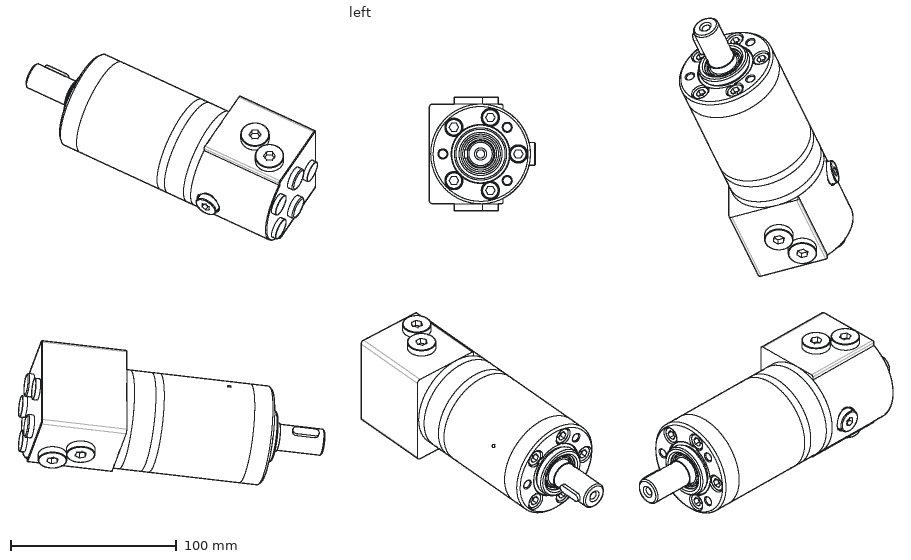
import cadquery as cq
import math


overall_length = 183.2
shoulder_start = 27.7
pilot_start = 30.4
flange_start = 35.3
flange_end = 48.0
barrel_end = 103.7
spacer_end = 108.8
gear_set_end = 122.0
valve_plate_end = 127.0
end_cover_end = 179.3

body_diameter = 60.0
body_radius = body_diameter / 2
overall_height = 68.7

shaft_diameter = 16.0
shoulder_diameter = 17.2
shaft_chamfer = 1.0
shaft_hole_diameter = 5.0
shaft_hole_depth = 11.0
shaft_countersink_diameter = 7.3
drill_tip_angle = 118.0
key_start = 4.0
key_length = 16.3
key_width = 5.0
key_top = 9.7

flange_chamfer = 1.5
pilot_diameter = 31.5
pilot_chamfer = 1.0
ring_groove_diameter = 35.5
ring_groove_depth = 1.1
ring_groove_chamfer = 0.4
pilot_neck_start = 34.8
pilot_neck_diameter = 29.7
seal_mouth_diameter = 26.0
seal_recess_diameter = 23.8
seal_recess_depth = 2.0
seal_groove_outer_diameter = 21.6
seal_groove_inner_diameter = 19.5
seal_groove_depth = 1.5
bolt_circle_radius = 22.7
screw_angles = (-135.0, -75.0, 0.0, 75.0, 135.0)
screw_recess_diameter = 11.0
screw_recess_depth = 5.0
screw_head_diameter = 10.0
screw_head_setback = 1.0
screw_head_chamfer = 0.4
screw_socket_width = 5.0
screw_socket_depth = 3.3
mounting_angles = (-45.0, 45.0, 180.0)
mounting_hole_diameter = 5.0
mounting_mouth_diameter = 6.0

vent_x = 62.8
vent_elevation = 30.0
vent_diameter = 2.0
vent_depth = 2.7

block_back_y = 31.0
block_front_y = -13.5
block_fillet_back = 2.0
block_fillet_front = 1.1
cover_rear_chamfer = 0.5

port_places = ((150.4, 7.3), (165.8, -2.2))
port_plug_diameter = 17.2
port_plug_height = (overall_height - body_diameter) / 2
port_plug_chamfer = 0.4
port_socket_width = 6.0
port_socket_depth = 3.7

drain_x = 139.0
drain_plug_diameter = 14.0
drain_plug_end_y = -33.0
drain_plug_chamfer = 0.5
drain_spotface_diameter = 15.5
drain_spotface_y = -28.4
drain_socket_width = 5.0
drain_socket_depth = 2.7

rear_screw_circle_radius = 21.2
rear_screw_angles = (0.0, 144.0, 216.0)
rear_screw_diameter = 13.0
rear_screw_height = 3.0
rear_screw_chamfer = 0.2
rear_plug_diameter = 14.0
rear_plug_y = 3.0
rear_plug_z = 14.8
rear_plug_chamfer = 0.7

overrun = 1.8


def disc(diameter, start, end, y=0.0, z=0.0):
    """Cylinder parallel to X between two places along the motor axis."""
    return (
        cq.Workplane("YZ", origin=(start, y, z))
        .circle(diameter / 2)
        .extrude(end - start)
    )


def cone(start_diameter, end_diameter, start, end, y=0.0, z=0.0):
    """Cone frustum parallel to X."""
    solid = cq.Solid.makeCone(
        start_diameter / 2,
        end_diameter / 2,
        end - start,
        cq.Vector(start, y, z),
        cq.Vector(1, 0, 0),
    )
    return cq.Workplane(solid)


def hexagon(plane, width, depth):
    """Hexagonal prism of the given width across flats, with a corner on the plane's X axis."""
    corner_diameter = width / math.cos(math.pi / 6)
    return cq.Workplane(plane).polygon(6, corner_diameter).extrude(depth)


def bolt_place(angle):
    """Y and Z of a place on the flange bolt circle; the angle starts at -Y."""
    turn = math.radians(angle)
    return -bolt_circle_radius * math.cos(turn), bolt_circle_radius * math.sin(turn)


def make_shaft():
    tip = disc(shaft_diameter, 0, shoulder_start).faces("<X").chamfer(shaft_chamfer)
    shoulder = disc(shoulder_diameter, shoulder_start, flange_end)
    key = (
        cq.Workplane("XZ", origin=(key_start + key_length / 2, 0, 0))
        .slot2D(key_length, key_width)
        .extrude(-key_top)
    )
    drill_tip = shaft_hole_diameter / 2 / math.tan(math.radians(drill_tip_angle / 2))
    countersink_depth = (shaft_countersink_diameter - shaft_hole_diameter) / 2
    shaft = tip.union(shoulder).union(key)
    shaft = shaft.cut(disc(shaft_hole_diameter, 0, shaft_hole_depth))
    shaft = shaft.cut(cone(shaft_hole_diameter, 0, shaft_hole_depth, shaft_hole_depth + drill_tip))
    return shaft.cut(cone(shaft_countersink_diameter, shaft_hole_diameter, 0, countersink_depth))


def add_flange_screw(flange, angle):
    """Socket-head screw sunk in a counterbore."""
    y, z = bolt_place(angle)
    floor = flange_start + screw_recess_depth
    head_start = flange_start + screw_head_setback
    head = disc(screw_head_diameter, head_start, floor, y, z).faces("<X").chamfer(screw_head_chamfer)
    socket_plane = cq.Plane(origin=(head_start, y, z), xDir=(0, 1, 0), normal=(1, 0, 0))
    head = head.cut(hexagon(socket_plane, screw_socket_width, screw_socket_depth))
    return flange.cut(disc(screw_recess_diameter, flange_start, floor, y, z)).union(head)


def cut_mounting_hole(flange, angle):
    """Through hole with a countersunk mouth."""
    y, z = bolt_place(angle)
    mouth_depth = (mounting_mouth_diameter - mounting_hole_diameter) / 2
    mouth = cone(
        mounting_mouth_diameter, mounting_hole_diameter, flange_start, flange_start + mouth_depth, y, z
    )
    return flange.cut(disc(mounting_hole_diameter, flange_start, flange_end, y, z)).cut(mouth)


def cut_seal_recess(flange):
    """Stepped recess with a ring groove around the shaft, in the end of the pilot."""
    floor = pilot_start + seal_recess_depth
    mouth_depth = (seal_mouth_diameter - seal_recess_diameter) / 2
    groove = disc(seal_groove_outer_diameter, floor, floor + seal_groove_depth).cut(
        disc(seal_groove_inner_diameter, floor, floor + seal_groove_depth)
    )
    mouth = cone(seal_mouth_diameter, seal_recess_diameter, pilot_start, pilot_start + mouth_depth)
    return flange.cut(disc(seal_recess_diameter, pilot_start, floor)).cut(mouth).cut(groove)


def cut_ring_groove(flange):
    """Seat for a sealing ring around the foot of the pilot, with a chamfered mouth."""
    floor = flange_start + ring_groove_depth
    groove_diameter = ring_groove_diameter - 2 * ring_groove_chamfer
    mouth = cone(ring_groove_diameter, groove_diameter, flange_start, flange_start + ring_groove_chamfer)
    return flange.cut(disc(groove_diameter, flange_start, floor)).cut(mouth)


def make_flange():
    flange = disc(body_diameter, flange_start, flange_end).faces("<X").chamfer(flange_chamfer)
    flange = cut_ring_groove(flange)
    pilot = disc(pilot_diameter, pilot_start, pilot_neck_start).faces("<X").chamfer(pilot_chamfer)
    pilot = pilot.union(disc(pilot_neck_diameter, pilot_neck_start, flange_end))
    flange = cut_seal_recess(flange.union(pilot))
    flange = flange.cut(disc(shoulder_diameter, pilot_start, flange_end))
    for angle in screw_angles:
        flange = add_flange_screw(flange, angle)
    for angle in mounting_angles:
        flange = cut_mounting_hole(flange, angle)
    return flange


def make_barrel():
    turn = math.radians(vent_elevation)
    inward = cq.Vector(0, -math.cos(turn), -math.sin(turn))
    mouth = cq.Vector(vent_x, 0, 0) - inward * (body_radius + overrun)
    vent = cq.Solid.makeCylinder(vent_diameter / 2, vent_depth + overrun, mouth, inward)
    return disc(body_diameter, flange_end, barrel_end).cut(cq.Workplane(vent))


def make_cover_body():
    """Round end cover with a square port block on its +Y side."""
    cover_length = end_cover_end - valve_plate_end
    block = (
        cq.Workplane("XY")
        .box(cover_length, block_back_y - block_front_y, body_diameter, centered=(False, False, True))
        .translate((valve_plate_end, block_front_y, 0))
    )
    block = block.edges("|X and >Y").fillet(block_fillet_back)
    block = block.edges("|X and <Y").fillet(block_fillet_front)
    cover = block.union(disc(body_diameter, valve_plate_end, end_cover_end))
    return cover.faces(">X").chamfer(cover_rear_chamfer)


def make_port_plug(x, y, side):
    """Port plug on the top (side = 1) or the bottom (side = -1)."""
    face_plane = cq.Plane(origin=(x, y, side * body_radius), xDir=(0, 1, 0), normal=(0, 0, side))
    plug = cq.Workplane(face_plane).circle(port_plug_diameter / 2).extrude(port_plug_height)
    outer_z = side * (body_radius + port_plug_height)
    socket_plane = cq.Plane(origin=(x, y, outer_z), xDir=(0, 1, 0), normal=(0, 0, -side))
    plug = plug.faces(">Z" if side > 0 else "<Z").chamfer(port_plug_chamfer)
    return plug.cut(hexagon(socket_plane, port_socket_width, port_socket_depth))


def add_drain_plug(cover):
    """Drain plug standing in a round spotface."""
    spotface = (
        cq.Workplane("XZ", origin=(drain_x, drain_spotface_y, 0))
        .circle(drain_spotface_diameter / 2)
        .extrude(body_radius + drain_spotface_y + overrun)
    )
    plug = (
        cq.Workplane("XZ", origin=(drain_x, drain_spotface_y, 0))
        .circle(drain_plug_diameter / 2)
        .extrude(drain_spotface_y - drain_plug_end_y)
        .faces("<Y")
        .chamfer(drain_plug_chamfer)
    )
    socket_plane = cq.Plane(origin=(drain_x, drain_plug_end_y, 0), xDir=(0, 0, 1), normal=(0, 1, 0))
    plug = plug.cut(hexagon(socket_plane, drain_socket_width, drain_socket_depth))
    return cover.cut(spotface).union(plug)


def add_rear_heads(cover):
    """Three low screw heads and two taller plugs on the rear face."""
    for angle in rear_screw_angles:
        turn = math.radians(angle)
        y = rear_screw_circle_radius * math.cos(turn)
        z = rear_screw_circle_radius * math.sin(turn)
        head = disc(rear_screw_diameter, end_cover_end, end_cover_end + rear_screw_height, y, z)
        cover = cover.union(head.faces(">X").chamfer(rear_screw_chamfer))
    for side in (1, -1):
        plug = disc(rear_plug_diameter, end_cover_end, overall_length, rear_plug_y, side * rear_plug_z)
        cover = cover.union(plug.faces(">X").chamfer(rear_plug_chamfer))
    return cover


def make_end_cover():
    cover = add_drain_plug(make_cover_body())
    for x, y in port_places:
        for side in (1, -1):
            cover = cover.union(make_port_plug(x, y, side))
    return add_rear_heads(cover)


shaft = make_shaft()
flange = make_flange()
barrel = make_barrel()
spacer = disc(body_diameter, barrel_end, spacer_end)
gear_set = disc(body_diameter, spacer_end, gear_set_end)
valve_plate = disc(body_diameter, gear_set_end, valve_plate_end)
end_cover = make_end_cover()

result = cq.Compound.makeCompound(
    [
        shaft.solids().val(),
        flange.solids().val(),
        barrel.solids().val(),
        spacer.solids().val(),
        gear_set.solids().val(),
        valve_plate.solids().val(),
        end_cover.solids().val(),
    ]
)